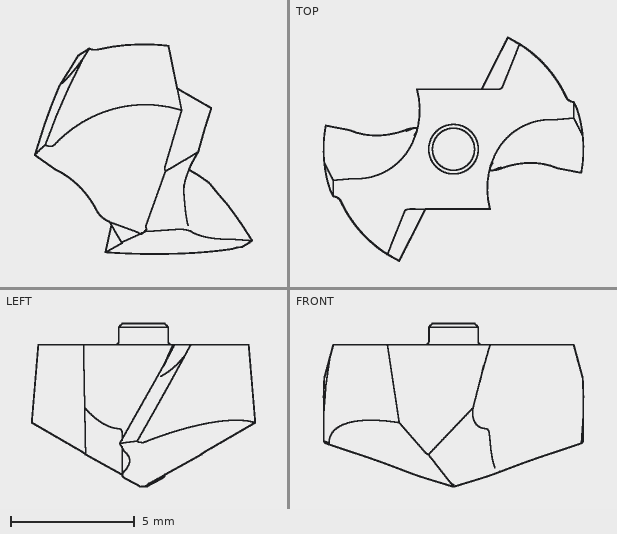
import math

import cadquery as cq


margin_radius = 5.245
clearance_radius = 5.015
tip_depth = 5.73
point_stock = 0.5
reach = 12.0

helix_angle = 29.5
helix_turn = math.degrees(math.tan(math.radians(helix_angle)) / margin_radius)

heel_rim_angle = -62.0
flute_heel = (1.48, -2.43)
flute_core = (1.37, -1.72)
flute_core_end = (1.66, -0.25)
flute_hook = (2.43, 0.70)
flute_hook_end = (4.10, 1.19)
flute_lip_middle = (4.62, 1.235)
lip_start_angle = 14.1

margin_width = 7.2
margin_step = 3.6
step_bend = 0.4
step_bend_rise = 0.25
margin_lead_x = 4.85
margin_lead_height = 1.45

notch_root = (-1.94, -2.42)
notch_side_angle = 68.3
notch_lean = (0.193, 0.0194)
notch_root_radius = 0.17

lip_slope = 0.355
primary_slope = 0.09
secondary_slope = 0.40

gash_rise_x = 1.03
gash_rise_y = 1.0
gash_wall_angle = 30.0
gash_wall_offset = 0.10
gash_straight_end = 1.12
gash_round_radius = 0.85
gash_round_past = 22.0
gash_root_radius = 0.29

boss_radius = 1.0
boss_height = 0.855
boss_chamfer = 0.15
boss_root_radius = 0.13


def polar(radius, degrees):
    angle = math.radians(degrees)
    return (radius * math.cos(angle), radius * math.sin(angle))


def half_turn(point):
    return (-point[0], -point[1])


def turned(shape, degrees):
    return shape.rotate((0, 0, 0), (0, 0, 1), degrees)


def round_edge_at(shape, point, radius):
    return shape.edges(cq.selectors.NearestToPointSelector(point)).fillet(radius)


def prism(points, direction):
    """Solid swept from a closed polygon along any direction."""
    outline = cq.Wire.makePolygon([cq.Vector(*p) for p in points], close=True)
    return cq.Workplane(cq.Solid.extrudeLinear(outline, [], cq.Vector(*direction)))


def twisted_body():
    """Full cross-section, helically twisted so that it reaches its named outline at the seat face."""
    margin_end = lip_start_angle + margin_width
    clearance_start = margin_end + margin_step
    bend_angle = margin_end + step_bend * margin_step
    bend_radius = clearance_radius + step_bend_rise * (margin_radius - clearance_radius)
    heel_rim = polar(clearance_radius, heel_rim_angle)
    lobe_end = half_turn(heel_rim)
    lobe_end_angle = heel_rim_angle + 180

    def half_outline(sketch, turn):
        return (
            sketch.lineTo(*turn(flute_heel))
            .threePointArc(turn(flute_core), turn(flute_core_end))
            .threePointArc(turn(flute_hook), turn(flute_hook_end))
            .threePointArc(turn(flute_lip_middle), turn(polar(margin_radius, lip_start_angle)))
            .threePointArc(
                turn(polar(margin_radius, lip_start_angle + margin_width / 2)),
                turn(polar(margin_radius, margin_end)),
            )
            .threePointArc(
                turn(polar(bend_radius, bend_angle)),
                turn(polar(clearance_radius, clearance_start)),
            )
            .threePointArc(
                turn(polar(clearance_radius, (clearance_start + lobe_end_angle) / 2)),
                turn(lobe_end),
            )
        )

    outline = cq.Workplane("XY").moveTo(*heel_rim)
    outline = half_outline(outline, lambda point: point)
    outline = half_outline(outline, half_turn).close()
    height = tip_depth + point_stock
    twist = helix_turn * height
    body = outline.twistExtrude(height, twist)
    return turned(body, -twist).translate((0, 0, -height))


def notch_tool():
    """V notch between the flat of the web and the driven side of a lobe."""
    side = polar(reach, notch_side_angle)
    root_x, root_y = notch_root
    side_end = (root_x - side[0], root_y - side[1])
    corners = [(root_x, root_y, 0), (*side_end, 0), (reach, side_end[1], 0), (reach, root_y, 0)]
    drop = (notch_lean[0] * reach, notch_lean[1] * reach, -reach)
    tool = prism(corners, drop)
    middle = (root_x + drop[0] / 2, root_y + drop[1] / 2, drop[2] / 2)
    return round_edge_at(tool, middle, notch_root_radius)


def margin_lead_tool():
    """Planar lead-in at the seat end of a margin."""
    slope = (margin_radius - margin_lead_x) / margin_lead_height
    half = reach / 2
    corners = [
        (margin_lead_x, -half, 0),
        (margin_lead_x + slope * half, -half, -half),
        (reach, -half, -half),
        (reach, -half, 0),
    ]
    return prism(corners, (0, reach, 0))


def flank_tool():
    """Everything below the primary and secondary flanks of one lobe."""
    corners = [
        (0, -reach, -tip_depth - primary_slope * reach),
        (0, 0, -tip_depth),
        (0, reach, -tip_depth + secondary_slope * reach),
        (0, reach, -3 * reach),
        (0, -reach, -3 * reach),
    ]
    return prism(corners, (reach, 0, lip_slope * reach))


def gash_tool():
    """Gash that thins the web beside the point, with a rounded corner into the flute."""
    wall_slope = math.tan(math.radians(gash_wall_angle))

    def wall_y(x):
        return -gash_wall_offset - wall_slope * x

    start_x = -reach / 4
    tangent = (gash_straight_end, wall_y(gash_straight_end))
    spoke = polar(gash_round_radius, -90 - gash_wall_angle)
    centre = (tangent[0] - spoke[0], tangent[1] - spoke[1])
    end_spoke = polar(gash_round_radius, -90 + gash_round_past)
    round_end = (centre[0] + end_spoke[0], centre[1] + end_spoke[1])
    lowest = (centre[0], centre[1] - gash_round_radius)
    plan = (
        cq.Workplane("XY")
        .moveTo(start_x, wall_y(start_x))
        .lineTo(*tangent)
        .threePointArc(lowest, round_end)
        .lineTo(round_end[0], -reach / 2)
        .lineTo(start_x, -reach / 2)
        .close()
        .extrude(-3 * reach)
    ).translate((0, 0, reach))

    def floor(x, y):
        return (x, y, -tip_depth + gash_rise_x * x - gash_rise_y * y)

    floor_corners = [
        floor(-reach, -reach),
        floor(reach, -reach),
        floor(reach, reach),
        floor(-reach, reach),
    ]
    tool = plan.intersect(prism(floor_corners, (0, 0, -4 * reach)))
    return round_edge_at(tool, floor(0, wall_y(0)), gash_root_radius)


def boss():
    profile = (
        cq.Workplane("XZ")
        .lineTo(0, boss_height)
        .lineTo(boss_radius - boss_chamfer, boss_height)
        .lineTo(boss_radius, boss_height - boss_chamfer)
        .lineTo(boss_radius, boss_root_radius)
        .radiusArc((boss_radius + boss_root_radius, 0), -boss_root_radius)
        .lineTo(boss_radius + boss_root_radius, -boss_root_radius)
        .lineTo(0, -boss_root_radius)
        .close()
    )
    return profile.revolve(360, (0, 0, 0), (0, 1, 0))


result = twisted_body()
for tool in (notch_tool(), margin_lead_tool(), flank_tool(), gash_tool()):
    result = result.cut(tool).cut(turned(tool, 180))
result = result.union(boss())